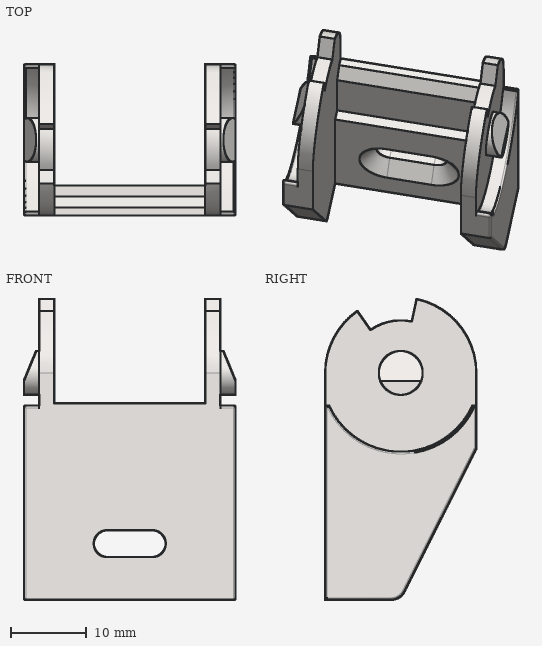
import cadquery as cq
import math

outer_width = 28.0
depth = 20.0
thin_cheek = 2.03
inner_half = 9.95
outer_half = outer_width / 2
cheek_half = inner_half + thin_cheek
edge_round = 0.28

axis_y = depth / 2
axis_z = 30.0
disc_radius = depth / 2
slope_top_z = 20.0
toe_y = 9.95
toe_round = 2.0
notch_radius = 6.95
notch_back_angle = 12.0
notch_front_angle = -35.0

recess_radius = 10.4
ledge_z = 25.7
ledge_round = 0.3

pin_radius = 2.9
pin_flat_z = 28.95
pin_slope_top_x = 12.35

wall_top_z = 26.0
rim_thickness = 1.07
wall_thickness = 2.55
foot_thickness = 3.98
foot_top_z = 16.7

slot_length = 9.45
slot_height = 3.5
slot_z = 7.45
slot_straight_depth = 2.03
flare_angle = 45


def side_plate(x_start, thickness):
    """Plate in the YZ plane with a rounded top and a tapered lower back edge."""
    return (
        cq.Workplane("YZ", origin=(x_start, 0, 0))
        .polyline([(0, 0), (toe_y, 0), (depth, slope_top_z), (depth, axis_z)])
        .threePointArc((axis_y, axis_z + disc_radius), (0, axis_z))
        .close()
        .extrude(thickness)
        .edges(cq.selectors.NearestToPointSelector((x_start + thickness / 2, toe_y, 0)))
        .fillet(toe_round)
    )


def polar(radius, angle):
    """Point about the disc axis; the angle leans from +Z toward +Y."""
    turn = math.radians(angle)
    return axis_y + radius * math.sin(turn), axis_z + radius * math.cos(turn)


def disc_notch():
    """Sector-shaped cutter for the top of the disc."""
    middle_angle = (notch_back_angle + notch_front_angle) / 2
    reach = 2 * disc_radius
    return (
        cq.Workplane("YZ", origin=(inner_half, 0, 0))
        .moveTo(*polar(notch_radius, notch_back_angle))
        .threePointArc(polar(notch_radius, middle_angle), polar(notch_radius, notch_front_angle))
        .lineTo(*polar(reach, notch_front_angle))
        .lineTo(*polar(reach, notch_back_angle))
        .close()
        .extrude(thin_cheek)
    )


def outer_layer():
    """Lower outer part of the cheek, rounded along its outside edge."""
    recess = (
        cq.Workplane("YZ", origin=(cheek_half, 0, 0))
        .center(axis_y, axis_z)
        .circle(recess_radius)
        .extrude(outer_half - cheek_half)
    )
    above = cq.Workplane("XY").box(outer_width, depth, depth, centered=(True, False, False))
    above = above.translate((0, 0, ledge_z))
    layer = side_plate(cheek_half, outer_half - cheek_half).cut(recess).cut(above)
    for y in (0, depth):
        corner = cq.selectors.NearestToPointSelector((outer_half - edge_round, y, ledge_z))
        layer = layer.edges("|X").edges(corner).fillet(ledge_round)
    return layer.faces(">X").edges().fillet(edge_round)


def pin():
    """Round pin whose end slopes inward above a flat lower part."""
    blank = (
        cq.Workplane("YZ", origin=(cheek_half, 0, 0))
        .center(axis_y, axis_z)
        .circle(pin_radius)
        .extrude(outer_half - cheek_half)
    )
    pin_top_z = axis_z + pin_radius
    slope = (
        cq.Workplane("XZ")
        .polyline([(outer_half, pin_flat_z), (outer_half, pin_top_z), (pin_slope_top_x, pin_top_z)])
        .close()
        .extrude(-depth)
    )
    return blank.cut(slope)


def front_wall():
    """Wall between the cheeks: narrow chamfered rim and a thicker foot."""
    chamfer = wall_thickness - rim_thickness
    return (
        cq.Workplane("YZ", origin=(-inner_half, 0, 0))
        .polyline([
            (0, 0),
            (foot_thickness, 0),
            (foot_thickness, foot_top_z),
            (wall_thickness, foot_top_z),
            (wall_thickness, wall_top_z - chamfer),
            (rim_thickness, wall_top_z),
            (0, wall_top_z),
        ])
        .close()
        .extrude(2 * inner_half)
    )


def slot_cutter(y_start, length, taper=0.0):
    """Slot-shaped cutter running inward from y_start."""
    return (
        cq.Workplane("XZ", origin=(0, y_start, slot_z))
        .slot2D(slot_length, slot_height)
        .extrude(-length, taper=taper)
    )


def slot():
    """Straight slot that flares at 45 degrees toward the inside."""
    flare_depth = foot_thickness - slot_straight_depth
    return slot_cutter(0, slot_straight_depth).union(
        slot_cutter(slot_straight_depth, flare_depth, taper=-flare_angle)
    )


cheek = side_plate(inner_half, thin_cheek).cut(disc_notch()).union(outer_layer()).union(pin())
wall = front_wall().cut(slot())
result = wall.union(cheek).union(cheek.mirror("YZ"))